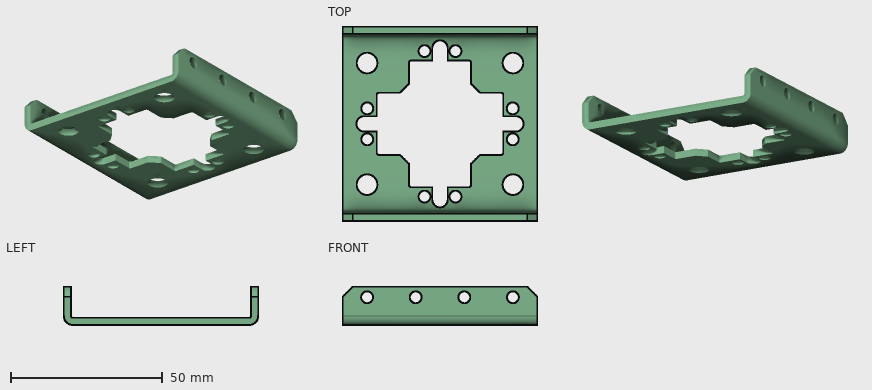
import cadquery as cq

side = 64.0
height = 12.7
thickness = 2.4
outer_bend_radius = 3.0
inner_bend_radius = outer_bend_radius - thickness
flange_chamfer = 3.3

flange_hole_diameter = 3.85
flange_hole_count = 4
flange_hole_pitch = side / flange_hole_count
flange_hole_drop = 3.5

arm_reach = 20.8
arm_width = 20.35
arm_corner_radius = 0.65
inner_corner_chamfer = 3.0
slot_width = 5.0
slot_reach = 27.45

mount_hole_diameter = 6.7
mount_spacing_x = 48.0
mount_spacing_y = 40.0
small_hole_diameter = 3.85
small_hole_pair_spacing = 10.2
small_hole_circle_spacing = 47.9


def bent_channel():
    """U-shaped sheet with rounded bends and chamfered upper flange corners."""
    outside = (
        cq.Workplane("XY")
        .box(side, side, height, centered=(True, True, False))
        .edges("|X and <Z")
        .fillet(outer_bend_radius)
    )
    inside = (
        cq.Workplane("XY", origin=(0, 0, thickness))
        .box(side, side - 2 * thickness, height, centered=(True, True, False))
        .edges("|X and <Z")
        .fillet(inner_bend_radius)
    )
    return outside.cut(inside).edges("|Y and >Z").chamfer(flange_chamfer)


def flange_holes():
    """Cutters that run across the part through both flanges."""
    return (
        cq.Workplane("XZ", origin=(0, 0, height - flange_hole_drop))
        .rarray(flange_hole_pitch, 0.65, flange_hole_count, 1)
        .circle(flange_hole_diameter / 2)
        .extrude(side / 2, both=True)
    )


def cross_arm(length_x, length_y):
    """One bar of the cross with rounded corners."""
    return (
        cq.Workplane("XY")
        .box(length_x, length_y, thickness, centered=(True, True, False))
        .edges("|Z")
        .fillet(arm_corner_radius)
    )


def cross_opening():
    """Cross with chamfered inner corners and a round-ended slot along each axis."""
    bevel_square_side = arm_width + 2 * inner_corner_chamfer
    bevel_square = (
        cq.Workplane("XY")
        .rect(bevel_square_side, bevel_square_side)
        .extrude(thickness)
        .edges("|Z")
        .chamfer(inner_corner_chamfer)
    )
    opening = cross_arm(2 * arm_reach, arm_width)
    opening = opening.union(cross_arm(arm_width, 2 * arm_reach)).union(bevel_square)
    for angle in (0, 90):
        slot = cq.Workplane("XY").slot2D(2 * slot_reach, slot_width, angle).extrude(thickness)
        opening = opening.union(slot)
    return opening


def web_holes(spacing_x, spacing_y, diameter):
    """Four round cutters through the web at the corners of a rectangle."""
    return (
        cq.Workplane("XY")
        .rarray(spacing_x, spacing_y, 2, 2)
        .circle(diameter / 2)
        .extrude(thickness)
    )


result = (
    bent_channel()
    .cut(flange_holes())
    .cut(cross_opening())
    .cut(web_holes(mount_spacing_x, mount_spacing_y, mount_hole_diameter))
    .cut(web_holes(small_hole_circle_spacing, small_hole_pair_spacing, small_hole_diameter))
    .cut(web_holes(small_hole_pair_spacing, small_hole_circle_spacing, small_hole_diameter))
)